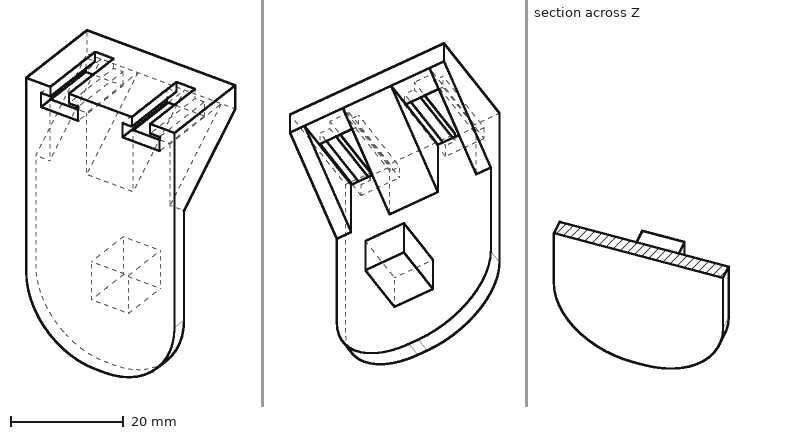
import cadquery as cq

width = 31.9
depth = 19.0
height = 55.9
plate_thickness = 3.0
corner_radius = 15.0

shelf_thickness = 5.0
wedge_height = 17.95
side_wall_thickness = 3.0
center_wall_thickness = 10.0

slot_spacing = 17.5
slot_length = 14.0
neck_width = 3.95
neck_height = 2.0
head_width = 8.0

peg_size = 8.0
peg_length = 9.95
peg_center_height = 16.0


def box(x_size, y_start, y_end, z_start, z_end, x_center=0):
    """Block centred on x_center, spanning the given Y and Z ranges."""
    return (
        cq.Workplane("XY")
        .box(x_size, y_end - y_start, z_end - z_start, centered=(True, False, False))
        .translate((x_center, y_start, z_start))
    )


plate = (
    box(width, 0, plate_thickness, 0, height)
    .edges("|Y and <Z")
    .fillet(corner_radius)
)

wedge = (
    cq.Workplane("YZ")
    .polyline([
        (0, height),
        (depth, height),
        (depth, height - shelf_thickness),
        (plate_thickness, height - wedge_height),
        (0, height - wedge_height),
    ])
    .close()
    .extrude(width / 2, both=True)
)

peg = box(
    peg_size,
    0,
    plate_thickness + peg_length,
    peg_center_height - peg_size / 2,
    peg_center_height + peg_size / 2,
)

head_bottom = height - shelf_thickness

pocket_width = (width - center_wall_thickness) / 2 - side_wall_thickness
pocket_offset = (center_wall_thickness + pocket_width) / 2
result = plate.union(wedge)
for pocket_x in (-pocket_offset, pocket_offset):
    pocket = box(
        pocket_width,
        plate_thickness,
        depth,
        height - wedge_height,
        head_bottom,
        pocket_x,
    )
    result = result.cut(pocket)
result = result.union(peg)

neck_bottom = height - neck_height
for slot_x in (-slot_spacing / 2, slot_spacing / 2):
    neck = box(neck_width, 0, slot_length, neck_bottom, height, slot_x)
    head = box(head_width, 0, slot_length, head_bottom, neck_bottom, slot_x)
    result = result.cut(neck).cut(head)